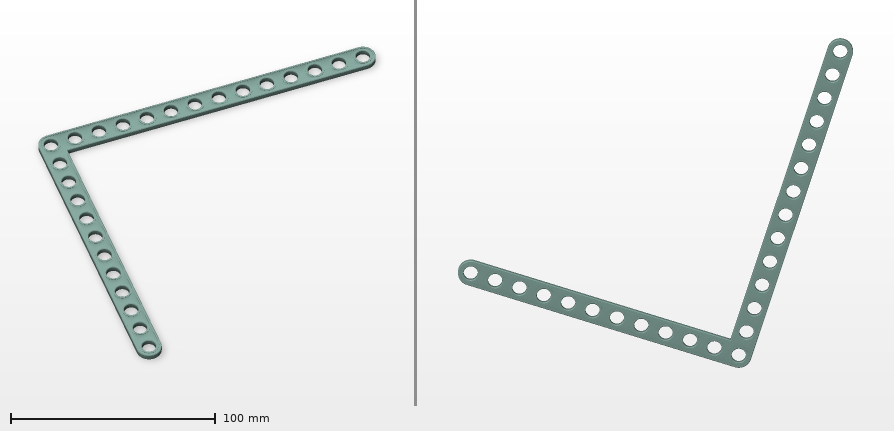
import cadquery as cq

LENGTH_Y = 175.0
HOLES_Y = 14
HOLES_X = 12
THICKNESS = 3.2
HOLE_DIAMETER = 7.0
RIM_WIDTH = 1.1
RECESS_DEPTH = 0.2
EDGE_CHAMFER = 0.3

PITCH = LENGTH_Y / HOLES_Y
END_RADIUS = PITCH / 2
WEB_RADIUS = END_RADIUS - RIM_WIDTH
HOLE_RADIUS = HOLE_DIAMETER / 2
COLLAR_RADIUS = HOLE_RADIUS + RIM_WIDTH
REACH_X = (HOLES_X - 1) * PITCH
REACH_Y = (HOLES_Y - 1) * PITCH

HOLE_CENTRES = [(0, i * PITCH) for i in range(HOLES_Y)]
HOLE_CENTRES += [(i * PITCH, 0) for i in range(1, HOLES_X)]


def angle_plate(half_width, height):
    """L-shaped plate with round ends and a round outer corner, centred on the corner hole."""
    r = half_width
    arc_offset = r * 0.5 ** 0.5
    return (
        cq.Workplane("XY")
        .moveTo(0, -r)
        .lineTo(REACH_X, -r)
        .threePointArc((REACH_X + r, 0), (REACH_X, r))
        .lineTo(r, r)
        .lineTo(r, REACH_Y)
        .threePointArc((0, REACH_Y + r), (-r, REACH_Y))
        .lineTo(-r, 0)
        .threePointArc((-arc_offset, -arc_offset), (0, -r))
        .close()
        .extrude(height)
    )


def web_recess():
    """Shallow pocket inside the rim that leaves a collar around each hole."""
    collars = cq.Workplane("XY").pushPoints(HOLE_CENTRES).circle(COLLAR_RADIUS).extrude(RECESS_DEPTH)
    return angle_plate(WEB_RADIUS, RECESS_DEPTH).cut(collars)


def hole_cutter():
    """Through hole with a chamfered mouth on both faces."""
    mouth_radius = HOLE_RADIUS + EDGE_CHAMFER
    half_profile = [
        (0, 0),
        (mouth_radius, 0),
        (HOLE_RADIUS, EDGE_CHAMFER),
        (HOLE_RADIUS, THICKNESS - EDGE_CHAMFER),
        (mouth_radius, THICKNESS),
        (0, THICKNESS),
    ]
    return cq.Workplane("XZ").polyline(half_profile).close().revolve(360, (0, 0), (0, 1))


plate = angle_plate(END_RADIUS, THICKNESS).faces("<Z or >Z").edges().chamfer(EDGE_CHAMFER)

recess = web_recess()
for recess_base in (0, THICKNESS - RECESS_DEPTH):
    plate = plate.cut(recess.translate((0, 0, recess_base)))

hole = hole_cutter()
for x, y in HOLE_CENTRES:
    plate = plate.cut(hole.translate((x, y, 0)))

result = plate